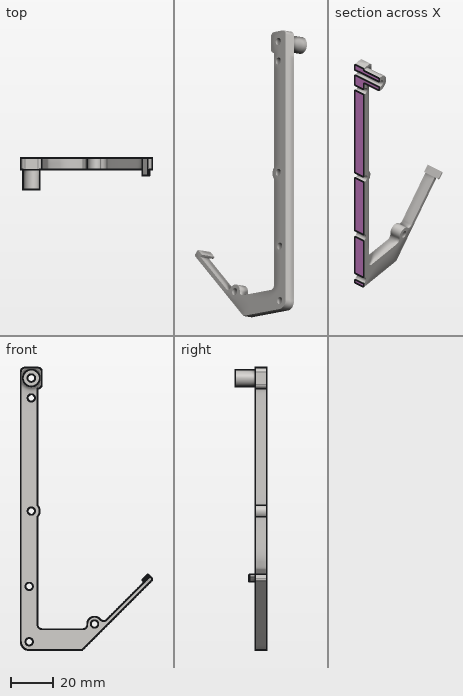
import cadquery as cq
import math

total_width = 62.19
total_height = 133.7
plate_thickness = 5.5
total_depth = 15.0

column_width = 8.0
head_size = 10.0
head_radius = 2.0

foot_height = 10.0
foot_length = 29.0
heel_radius = 4.0
blend_radius = 2.0

arm_thickness = 2.0
arm_angle = 45.0
tip_radius = 0.8
sharp_tip_x = total_width + tip_radius * (math.sqrt(2) - 1)
sharp_tip_z = (sharp_tip_x - foot_length) * math.tan(math.radians(arm_angle))
arm_length = (sharp_tip_x - foot_length) / math.cos(math.radians(arm_angle))

catch_length = 3.9
catch_height = 1.4
catch_reach = 3.0
nub_chamfer = 0.3
nub_corner_radius = 0.35

spacer_diameter = 8.0
spacer_hole_diameter = 3.5
spacer_x = head_size / 2
spacer_z = total_height - head_size / 2

screw_hole_diameter = 3.4
upper_hole = (spacer_x, 119.3)
middle_hole = (spacer_x, 65.8)
lower_hole = (4.0, 30.2)
heel_hole = (heel_radius, heel_radius)
foot_hole = (34.9, 12.4)
screw_holes = [upper_hole, middle_hole, lower_hole, heel_hole, foot_hole]

middle_lug_diameter = 8.0
foot_lug_diameter = 7.0


def front_plane():
    """Plane on the front face of the plate: local x is X, local y is Z, the normal is -Y."""
    return cq.Workplane("XZ")


def plate_block(x, z, width, height):
    """Plate-thick block with its lower left corner at (x, z)."""
    return front_plane().rect(width, height, centered=False).extrude(-plate_thickness).translate((x, 0, z))


def plate_disc(center, diameter):
    """Plate-thick disc centred at (x, z)."""
    return front_plane().center(*center).circle(diameter / 2).extrude(-plate_thickness)


def arm_block(start, length, bottom, top, front, back):
    """Block laid along X as if the arm were flat, with its outer edge at z = 0 and the toe at x = 0."""
    block = cq.Workplane("XY").box(length, back - front, top - bottom, centered=False)
    return block.translate((start, front, bottom))


def tilt_onto_arm(block):
    return block.rotate((0, 0, 0), (0, 1, 0), -arm_angle).translate((foot_length, 0, 0))


def edge_at(x, z):
    """Selector for the plate edge that runs along Y through (x, z)."""
    reach = 0.05
    return cq.selectors.BoxSelector(
        (x - reach, -reach, z - reach),
        (x + reach, plate_thickness + reach, z + reach),
    )


def make_column():
    """Column with the head on top; the head corner next to the column's inner edge stays sharp."""
    neck_z = total_height - head_size
    head = plate_block(0, neck_z, head_size, head_size)
    for x, z in [(0, total_height), (head_size, total_height), (head_size, neck_z)]:
        head = head.edges(edge_at(x, z)).fillet(head_radius)
    column = plate_block(0, 0, column_width, neck_z)
    return column.union(head).union(plate_disc(middle_hole, middle_lug_diameter))


def make_foot():
    """Foot plate with a slanted end that lies in line with the outer edge of the arm."""
    slant_run = foot_height / math.tan(math.radians(arm_angle))
    return (
        front_plane()
        .polyline([(0, 0), (foot_length, 0), (foot_length + slant_run, foot_height), (0, foot_height)])
        .close()
        .extrude(-plate_thickness)
    )


def make_arm():
    return tilt_onto_arm(arm_block(0, arm_length, 0, arm_thickness, 0, plate_thickness))


def foot_lug_corners():
    """Sharp corners where the foot lug meets the top of the foot and the inner edge of the arm."""
    hole_x, hole_z = foot_hole
    radius = foot_lug_diameter / 2
    foot_corner = (hole_x - math.sqrt(radius**2 - (hole_z - foot_height) ** 2), foot_height)

    cosine = math.cos(math.radians(arm_angle))
    sine = math.sin(math.radians(arm_angle))
    hole_along = (hole_x - foot_length) * cosine + hole_z * sine
    hole_above = hole_z * cosine - (hole_x - foot_length) * sine
    along = hole_along + math.sqrt(radius**2 - (hole_above - arm_thickness) ** 2)
    arm_corner = (
        foot_length + along * cosine - arm_thickness * sine,
        along * sine + arm_thickness * cosine,
    )
    return [foot_corner, arm_corner]


def make_catch():
    """Lip across the arm tip, with a nub that stands out in front of the plate.

    The nub has rounded lower corners and a chamfered front.
    """
    start = arm_length - catch_length
    top = arm_thickness + catch_height
    lip = arm_block(start, catch_length, arm_thickness, top, 0, plate_thickness)
    nub = arm_block(start, catch_length, arm_thickness, top, -catch_reach, 0)
    nub = nub.faces("<Z").edges("|Y").fillet(nub_corner_radius)
    nub = nub.faces("<Y").chamfer(nub_chamfer)
    return tilt_onto_arm(lip.union(nub))


def make_spacer():
    return (
        front_plane()
        .center(spacer_x, spacer_z)
        .circle(spacer_diameter / 2)
        .extrude(total_depth - plate_thickness)
    )


def drill(body, center, diameter):
    """Cut a hole along Y through the plate and anything in front of it."""
    cutter = (
        front_plane()
        .workplane(offset=-plate_thickness)
        .center(*center)
        .circle(diameter / 2)
        .extrude(total_depth)
    )
    return body.cut(cutter)


body = make_column().union(make_foot()).union(make_arm())
body = body.union(plate_disc(foot_hole, foot_lug_diameter))
body = body.edges(edge_at(0, 0)).fillet(heel_radius)
for x, z in [(column_width, foot_height), *foot_lug_corners()]:
    body = body.edges(edge_at(x, z)).fillet(blend_radius)
body = body.edges(edge_at(sharp_tip_x, sharp_tip_z)).fillet(tip_radius)
body = body.union(make_catch()).union(make_spacer())

for hole in screw_holes:
    body = drill(body, hole, screw_hole_diameter)
result = drill(body, (spacer_x, spacer_z), spacer_hole_diameter)